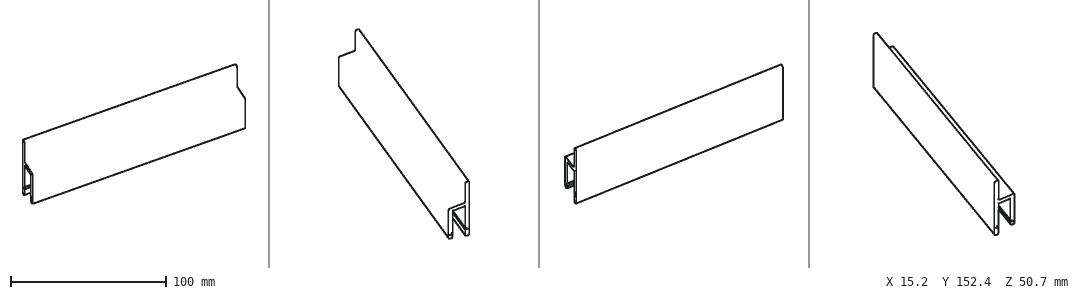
import cadquery as cq

length = 152.4
width = 15.2
height = 50.7

wall = 3.2
end_radius = wall / 2
short_leg_bottom = 3.2
shelf_top = 31.7
shelf_bottom = shelf_top - wall
slot_right = width - wall

inner_fillet = 1.0
outer_fillet = 1.4

notch_depth = 2.0
notch_floor = 6.4
notch_top = notch_floor + notch_depth


def wall_section(left, bottom, top):
    """Upright wall with fully rounded lower and upper ends."""
    right = left + wall
    middle = left + end_radius
    return (
        cq.Workplane("XZ")
        .moveTo(left, bottom + end_radius)
        .threePointArc((middle, bottom), (right, bottom + end_radius))
        .lineTo(right, top - end_radius)
        .threePointArc((middle, top), (left, top - end_radius))
        .close()
        .extrude(-length)
    )


def hooked_arm():
    """Shelf and short leg, with a rounded lower end and outer corner."""
    leg_round_z = short_leg_bottom + end_radius
    arm = (
        cq.Workplane("XZ")
        .moveTo(end_radius, shelf_top)
        .lineTo(width, shelf_top)
        .lineTo(width, leg_round_z)
        .threePointArc((width - end_radius, short_leg_bottom), (slot_right, leg_round_z))
        .lineTo(slot_right, shelf_bottom)
        .lineTo(end_radius, shelf_bottom)
        .close()
        .extrude(-length)
    )
    outer_corner = cq.NearestToPointSelector((width, length / 2, shelf_top))
    return arm.edges(outer_corner).fillet(outer_fillet)


def notch(face_x, direction):
    """Triangular cutter with a flat floor and a 45 degree upper face."""
    return (
        cq.Workplane("XZ")
        .moveTo(face_x, notch_floor)
        .lineTo(face_x + direction * notch_depth, notch_floor)
        .lineTo(face_x, notch_top)
        .close()
        .extrude(-length)
    )


profile = wall_section(0, 0, height).union(hooked_arm())

inner_corner = cq.NearestToPointSelector((wall, length / 2, shelf_top))
profile = profile.edges(inner_corner).fillet(inner_fillet)

for face_x, direction in ((wall, -1), (slot_right, 1)):
    profile = profile.cut(notch(face_x, direction))

result = profile